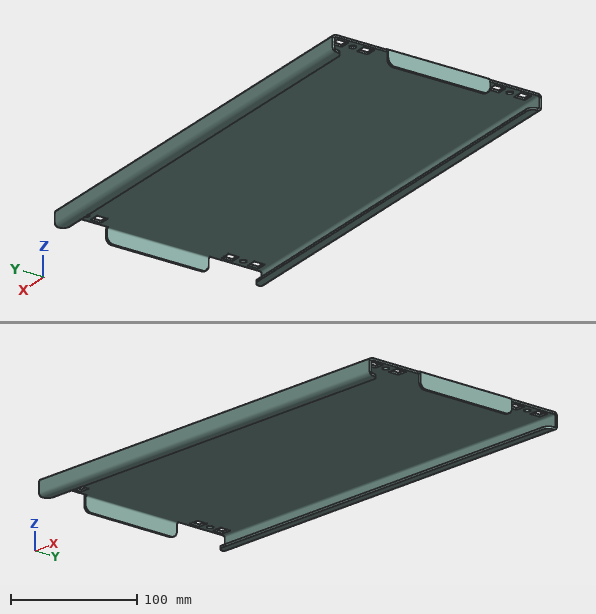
import cadquery as cq

length = 399.0
width = 200.0

thickness = 2.0
bend_radius = 3.5
side_flat = 8.0
height = side_flat + 2 * bend_radius
inner_radius = bend_radius - thickness
lip_width = 10.0
lip_corner_radius = 6.0

tab_width = 97.5
tab_corner_radius = 6.0
plate_length = length - 2 * bend_radius

hole_inset_x = 8.0
hole_inset_y = 24.7
round_diameter = 5.5
window_length = 9.0
window_width = 10.0
window_offset = 12.5


def make_channel():
    """Plate with two downward sides that return inward, extruded along X."""
    outer = cq.Workplane("XY").box(plate_length, width, height).edges("|X").fillet(bend_radius)
    inner = (
        cq.Workplane("XY")
        .box(plate_length, width - 2 * thickness, height - 2 * thickness)
        .edges("|X")
        .fillet(inner_radius)
    )
    gap_width = width - 2 * lip_width
    gap = cq.Workplane("XY").box(plate_length, gap_width, height).translate((0, 0, -thickness))
    channel = outer.cut(inner).cut(gap).translate((0, 0, -height / 2))
    lip_edge_y = gap_width / 2
    margin = thickness / 2
    lip_corner_region = cq.selectors.BoxSelector(
        (-length, -lip_edge_y - margin, -height - margin),
        (length, lip_edge_y + margin, -height + thickness + margin),
    )
    return channel.edges("|Z").edges(lip_corner_region).fillet(lip_corner_radius)


def make_end_tab():
    """Downward tab at the +X end, with rounded lower corners."""
    bend_start = plate_length / 2
    outer_face = length / 2
    inner_face = outer_face - thickness
    half_turn = 0.5 ** 0.5
    tab = (
        cq.Workplane("XZ")
        .moveTo(bend_start, 0)
        .threePointArc(
            (bend_start + bend_radius * half_turn, -bend_radius + bend_radius * half_turn),
            (outer_face, -bend_radius),
        )
        .lineTo(outer_face, -height)
        .lineTo(inner_face, -height)
        .lineTo(inner_face, -bend_radius)
        .threePointArc(
            (bend_start + inner_radius * half_turn, -bend_radius + inner_radius * half_turn),
            (bend_start, -thickness),
        )
        .close()
        .extrude(tab_width / 2, both=True)
    )
    lower_corners = tab.faces("<Z").edges("|X")
    return lower_corners.fillet(tab_corner_radius)


def make_corner_holes(x, y):
    """Cutters through the plate only: a round hole between two windows."""
    windows = (
        cq.Workplane("XY")
        .pushPoints([(x, y - window_offset), (x, y + window_offset)])
        .rect(window_length, window_width)
        .extrude(-thickness)
    )
    round_hole = cq.Workplane("XY").center(x, y).circle(round_diameter / 2).extrude(-thickness)
    return windows.add(round_hole).combine()


end_tab = make_end_tab()
result = make_channel().union(end_tab).union(end_tab.mirror("YZ"))

hole_x = plate_length / 2 - hole_inset_x
hole_y = width / 2 - hole_inset_y
for side_x in (-1, 1):
    for side_y in (-1, 1):
        result = result.cut(make_corner_holes(side_x * hole_x, side_y * hole_y))